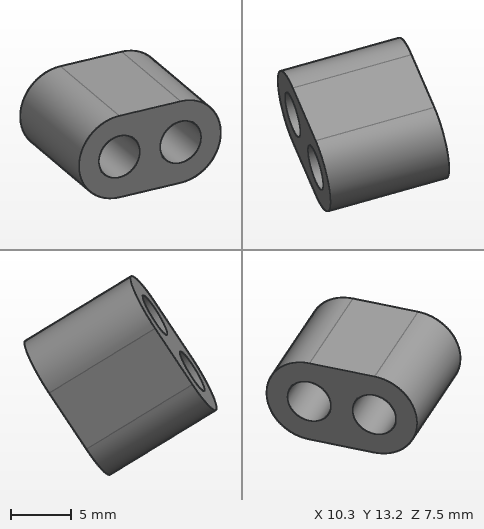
import cadquery as cq

sleeve_length = 10.35
overall_width = 13.21
overall_height = 7.5
bore_diameter = 3.8

bore_spacing = overall_width - overall_height


def make_body():
    """Solid sleeve with full-round ends, centred on the origin."""
    return (
        cq.Workplane("YZ")
        .slot2D(overall_width, overall_height)
        .extrude(sleeve_length / 2, both=True)
    )


def make_bores():
    """Two parallel cylinders running the whole length of the sleeve."""
    bore_centres = [(-bore_spacing / 2, 0), (bore_spacing / 2, 0)]
    return (
        cq.Workplane("YZ")
        .pushPoints(bore_centres)
        .circle(bore_diameter / 2)
        .extrude(sleeve_length / 2, both=True)
    )


result = make_body().cut(make_bores())